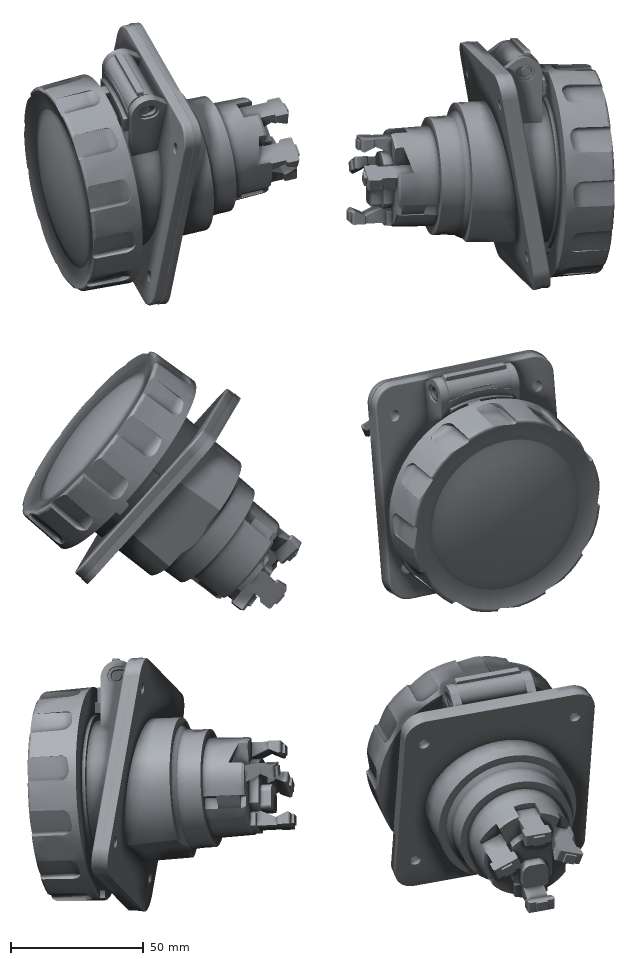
import math

import cadquery as cq


CAP_REAR_RADIUS = 40.445
CAP_FRONT_RADIUS = 39.6
CAP_LENGTH = 19.1
RIM_FILLET = 1.2
RIM_INNER_RADIUS = 38.2
DOME_RADIUS = 30.75
DOME_TIP_Y = -22.0
DOME_EDGE_Y = -17.2
DISH_MID_RADIUS = 33.6
DISH_MID_Y = -17.55

GRIP_COUNT = 12
GRIP_OFFSET_ANGLE = 1.7
GRIP_WIDTH = 10.0
GRIP_DEPTH = 1.7
GRIP_END_Y = -2.7
GRIP_END_ROUND = 3.8
GRIP_FLOOR_FILLET = 1.2

COLLAR_RADIUS = 29.8
COLLAR_LENGTH = 1.25
BODY_FRONT_RADIUS = 27.75
BODY_REAR_RADIUS = 27.35
BODY_END_Y = 33.4
CONE_FRONT_RADIUS = 24.3
CONE_REAR_RADIUS = 22.7
CONE_END_Y = 35.35
NECK_RADIUS = 22.35
NECK_END_Y = 44.25
INSERT_FRONT_RADIUS = 19.0
INSERT_REAR_RADIUS = 18.5
INSERT_END_Y = 60.1
INSERT_CHAMFER = 0.9
FLAT_FRONT_Z = -24.0
FLAT_REAR_Z = -22.95

PLATE_TILT = 10.05
PLATE_WIDTH = 75.4
PLATE_HEIGHT = 85.0
PLATE_CORNER = 8.2
PLATE_BACK_LAYER = 2.85
PLATE_THICKNESS = 6.5
PLATE_FRONT_WIDTH = 75.0
PLATE_FRONT_TOP_Z = 44.7
PLATE_FRONT_BOTTOM_Z = -38.7
PLATE_FRONT_FILLET = 0.7
PLATE_FRONT_NORMAL = cq.Vector(
    0, -math.cos(math.radians(PLATE_TILT)), math.sin(math.radians(PLATE_TILT))
)
PLATE_Y = 18.2
PLATE_Z = 2.5
HOLE_DIAMETER = 4.3
HOLE_SPACING_X = 60.0
HOLE_SPACING_Z = 59.2
HOLE_CENTER_Z = 3.3

EAR_INNER_X = 13.0
EAR_OUTER_X = 16.45
EAR_RADIUS = 6.6
EAR_CENTER_Y = 10.85
EAR_CENTER_Z = 41.0
EAR_BOTTOM_Z = 22.25
EAR_TOP_REAR_Y = 18.5
EAR_TOP_REAR_Z = 43.6
PIN_Y = 10.15
PIN_Z = 41.9
PIN_RADIUS = 1.9
PIN_RECESS = 1.3
SLOT_LENGTH = 6.3
SLOT_HEIGHT = 4.3
SLOT_CENTER_Y = 11.15
SLOT_DEPTH = 2.5
SLOT_RECESS_MARGIN = 1.05
SLOT_RECESS_DEPTH = 0.8
BARREL_RADIUS = 6.1
RIB_TOP_Z = 49.275
RIB_FRONT_Y = 7.9
RIB_REAR_Y = 10.4
RIB_HALF_LENGTH = 12.8
RIB_CORNER = 0.8
LUG_REAR_Y = 9.0
LUG_INNER_RADIUS = 34.6
LUG_STEPS = ((40.2, 2.3), (43.0, 3.9), (44.5, 4.4))

KEY_TOP_HALF_WIDTH = 6.5
KEY_BOTTOM_HALF_WIDTH = 12.0
KEY_TOP_REAR_Y = 4.3
KEY_BOTTOM_REAR_Y = 6.0
KEY_TOP_RADIUS = 34.8
KEY_BOTTOM_RADIUS = 31.4
TAB_INNER_RADIUS = 37.3
TAB_OUTER_RADIUS = 40.2
TAB_LENGTH = 2.0
TAB_LEFT_X = -6.6
TAB_RIGHT_X = -1.6

TERMINAL_END_Y = 72.45
EARTH_END_Y = 75.97
TERMINALS = (
    (0.0, 16.0, 0.0, TERMINAL_END_Y),
    (-13.1, 5.0, -22.0, TERMINAL_END_Y),
    (13.1, 5.0, 22.0, TERMINAL_END_Y),
    (0.0, -16.5, 180.0, EARTH_END_Y),
)
TIP_LENGTH = 0.95
TIP_HALF_WIDTH = 2.2
TIP_TOP_DEPTH = 0.8
TIP_BOTTOM_DEPTH = 4.4
HEAD_HALF_WIDTH = 5.2
HEAD_LENGTH = 5.2
HEAD_ROUND = 0.8
HEAD_DEPTH = 4.8
HEAD_LIP = 1.0
STEM_HALF_WIDTH = 4.0
WAIST_DEPTH = 2.9
ROOT_DEPTH = 5.6
ROOT_OFFSET = 12.1
STEM_LENGTH = 19.0

NOTCH_END_Y = 53.7
NOTCH_HALF_WIDTH = 4.3
SIDE_NOTCH_END_Y = 53.1
SIDE_NOTCH_SLOPE_RUN = 3.7
SIDE_NOTCH_SLOPE_RISE = 7.9

HUB_RADIUS = 10.9
HUB_HALF_WIDTH = 7.8
HUB_Z = -0.75
HUB_END_Y = 63.6
BOSS_HALF_WIDTH = 5.0
BOSS_TOP_Z = -0.2
BOSS_BOTTOM_Z = -10.1
BOSS_TOP_FILLET = 3.2
BOSS_BOTTOM_FILLET = 1.4
BOSS_END_Y = 67.75
EARTH_SEAT_RADIUS = 18.1
EARTH_SEAT_TOP_Z = -11.9
EARTH_SEAT_HALF_WIDTH = 6.5
EARTH_SEAT_END_Y = 62.1
GROOVE_TOP_Z = -7.3
GROOVE_BOTTOM_Z = -11.7
GROOVE_DEPTH = 1.6
GROOVE_START_Y = 49.2
GROOVE_END_Y = 58.1


def block(x0, x1, y0, y1, z0, z1):
    """Box between two opposite corners."""
    return cq.Workplane("XY").box(x1 - x0, y1 - y0, z1 - z0, centered=False).translate((x0, y0, z0))


def disc(radius, y0, y1, z=0.0):
    """Cylinder along Y."""
    return cq.Workplane("XZ", origin=(0, y0, z)).circle(radius).extrude(y0 - y1)


def side_profile(points, half_width):
    """Polygon in (y, z), extruded evenly to both sides of X = 0."""
    return cq.Workplane("YZ").polyline(points).close().extrude(half_width, both=True)


def mirrored(shape):
    """The shape together with its mirror image across X = 0."""
    return shape.union(shape.mirror("YZ"))


def make_cap():
    profile = (
        cq.Workplane("XY")
        .moveTo(0, 0)
        .lineTo(CAP_REAR_RADIUS, 0)
        .lineTo(CAP_FRONT_RADIUS, RIM_FILLET - CAP_LENGTH)
        .radiusArc((CAP_FRONT_RADIUS - RIM_FILLET, -CAP_LENGTH), RIM_FILLET)
        .lineTo(RIM_INNER_RADIUS, -CAP_LENGTH)
        .threePointArc((DISH_MID_RADIUS, DISH_MID_Y), (DOME_RADIUS, DOME_EDGE_Y))
    )
    sagitta = DOME_EDGE_Y - DOME_TIP_Y
    sphere_radius = (DOME_RADIUS**2 + sagitta**2) / (2 * sagitta)
    half_angle = math.asin(DOME_RADIUS / sphere_radius) / 2
    arc_middle = (
        sphere_radius * math.sin(half_angle),
        DOME_TIP_Y + sphere_radius * (1 - math.cos(half_angle)),
    )
    profile = profile.threePointArc(arc_middle, (0, DOME_TIP_Y)).close()
    cap = profile.revolve(360, (0, 0, 0), (0, 1, 0))
    for index in range(GRIP_COUNT):
        angle = GRIP_OFFSET_ANGLE + index * 360 / GRIP_COUNT
        cap = cap.cut(make_grip_cutter().rotate((0, 0, 0), (0, 1, 0), -angle))
    return cap


def make_grip_cutter():
    """Cutter at the top of the cap, deepest at its +X edge, with a rounded and ramped rear end."""
    half = GRIP_WIDTH / 2
    outside = CAP_REAR_RADIUS + 1
    floor_high = math.sqrt(CAP_FRONT_RADIUS**2 - half**2)
    floor_middle = floor_high - GRIP_DEPTH / 2
    floor_tilt = math.degrees(math.atan(GRIP_DEPTH / GRIP_WIDTH))
    front_y = -CAP_LENGTH - 1
    ramp_height = CAP_REAR_RADIUS - floor_middle
    ramp_radius = (ramp_height**2 + GRIP_END_ROUND**2) / (2 * ramp_height)
    cutter = (
        cq.Workplane("YZ")
        .moveTo(front_y, floor_middle)
        .lineTo(GRIP_END_Y - GRIP_END_ROUND, floor_middle)
        .radiusArc((GRIP_END_Y, CAP_REAR_RADIUS), -ramp_radius)
        .lineTo(GRIP_END_Y, outside)
        .lineTo(front_y, outside)
        .close()
        .extrude(half, both=True)
    )
    cutter = cutter.faces(">X").edges("<Z or %CIRCLE").fillet(GRIP_FLOOR_FILLET)
    cutter = cutter.rotate((0, 0, floor_middle), (0, 1, floor_middle), floor_tilt)
    plan = block(-half, half, front_y, GRIP_END_Y, 0, outside)
    return cutter.intersect(plan.edges("|Z and >Y").fillet(GRIP_END_ROUND))


def make_cap_keys():
    """Locating keys above and below the collar, and small tabs near the cap edge."""
    top_key = disc(KEY_TOP_RADIUS, 0, KEY_TOP_REAR_Y).intersect(
        block(-KEY_TOP_HALF_WIDTH, KEY_TOP_HALF_WIDTH, 0, KEY_TOP_REAR_Y, COLLAR_RADIUS, CAP_REAR_RADIUS)
    )
    bottom_key = disc(KEY_BOTTOM_RADIUS, 0, KEY_BOTTOM_REAR_Y).intersect(
        block(-KEY_BOTTOM_HALF_WIDTH, KEY_BOTTOM_HALF_WIDTH, 0, KEY_BOTTOM_REAR_Y, -CAP_REAR_RADIUS, 0)
    )
    tab_ring = disc(TAB_OUTER_RADIUS, 0, TAB_LENGTH).cut(disc(TAB_INNER_RADIUS, 0, TAB_LENGTH))
    tabs = tab_ring.intersect(
        block(TAB_LEFT_X, TAB_RIGHT_X, 0, TAB_LENGTH, -CAP_REAR_RADIUS, CAP_REAR_RADIUS)
    )
    return top_key.union(bottom_key).union(tabs)


def make_body():
    profile = [
        (0, 0),
        (COLLAR_RADIUS, 0),
        (COLLAR_RADIUS, COLLAR_LENGTH),
        (BODY_FRONT_RADIUS, COLLAR_LENGTH),
        (BODY_REAR_RADIUS, BODY_END_Y),
        (CONE_FRONT_RADIUS, BODY_END_Y),
        (CONE_REAR_RADIUS, CONE_END_Y),
        (NECK_RADIUS, NECK_END_Y),
        (INSERT_FRONT_RADIUS, NECK_END_Y),
        (INSERT_REAR_RADIUS, INSERT_END_Y - INSERT_CHAMFER),
        (INSERT_REAR_RADIUS - INSERT_CHAMFER / 2, INSERT_END_Y),
        (0, INSERT_END_Y),
    ]
    body = cq.Workplane("XY").polyline(profile).close().revolve(360, (0, 0, 0), (0, 1, 0))
    flat = [
        (PLATE_Y - PLATE_THICKNESS, FLAT_FRONT_Z),
        (CONE_END_Y, FLAT_REAR_Z),
        (CONE_END_Y, -BODY_FRONT_RADIUS),
        (PLATE_Y - PLATE_THICKNESS, -BODY_FRONT_RADIUS),
    ]
    return body.cut(side_profile(flat, BODY_FRONT_RADIUS))


def place_on_plate(shape):
    """Move a shape from the plate's own frame (back face on Y = 0) to its tilted place."""
    return shape.rotate((0, 0, 0), (1, 0, 0), -PLATE_TILT).translate((0, PLATE_Y, PLATE_Z))


def make_plate():
    """Tilted back layer square to its own face, and a front layer whose rim runs along Y."""
    back_layer = (
        cq.Workplane("XZ")
        .rect(PLATE_WIDTH, PLATE_HEIGHT)
        .extrude(PLATE_BACK_LAYER)
        .edges("|Y")
        .fillet(PLATE_CORNER)
    )
    front_slab = block(
        -PLATE_WIDTH, PLATE_WIDTH, -PLATE_THICKNESS, -PLATE_BACK_LAYER, -PLATE_HEIGHT, PLATE_HEIGHT
    )
    half_width = PLATE_FRONT_WIDTH / 2
    rim = block(
        -half_width, half_width, -PLATE_HEIGHT, PLATE_HEIGHT, PLATE_FRONT_BOTTOM_Z, PLATE_FRONT_TOP_Z
    )
    rim = rim.edges("|Y").fillet(PLATE_CORNER)
    front_layer = rim.intersect(place_on_plate(front_slab))
    front_face = front_layer.faces(cq.selectors.DirectionMinMaxSelector(PLATE_FRONT_NORMAL, True))
    front_layer = front_face.edges().fillet(PLATE_FRONT_FILLET)
    holes = (
        cq.Workplane("XZ", origin=(0, 0, HOLE_CENTER_Z))
        .rarray(HOLE_SPACING_X, HOLE_SPACING_Z, 2, 2)
        .circle(HOLE_DIAMETER / 2)
        .extrude(PLATE_HEIGHT, both=True)
    )
    return place_on_plate(back_layer).union(front_layer).cut(holes)


def make_ear():
    """Left hinge ear with its slotted pin opening."""
    ear_front_y = EAR_CENTER_Y - EAR_RADIUS
    ear_bottom_rear_y = EAR_TOP_REAR_Y - (EAR_TOP_REAR_Z - EAR_BOTTOM_Z) * math.tan(math.radians(PLATE_TILT))
    arc_rise = EAR_RADIUS * math.sin(math.pi / 3)
    ear = (
        cq.Workplane("YZ", origin=(-EAR_OUTER_X, 0, 0))
        .moveTo(ear_front_y, EAR_BOTTOM_Z)
        .lineTo(ear_front_y, EAR_CENTER_Z)
        .threePointArc(
            (EAR_CENTER_Y - EAR_RADIUS / 2, EAR_CENTER_Z + arc_rise),
            (EAR_CENTER_Y + EAR_RADIUS / 2, EAR_CENTER_Z + arc_rise),
        )
        .lineTo(EAR_TOP_REAR_Y, EAR_TOP_REAR_Z)
        .lineTo(ear_bottom_rear_y, EAR_BOTTOM_Z)
        .close()
        .extrude(EAR_OUTER_X - EAR_INNER_X)
    )
    slot = (
        cq.Workplane("YZ", origin=(-EAR_OUTER_X, SLOT_CENTER_Y, PIN_Z))
        .slot2D(SLOT_LENGTH, SLOT_HEIGHT)
        .extrude(SLOT_DEPTH)
    )
    recess = (
        cq.Workplane("YZ", origin=(-EAR_OUTER_X, SLOT_CENTER_Y, PIN_Z))
        .slot2D(SLOT_LENGTH + 2 * SLOT_RECESS_MARGIN, SLOT_HEIGHT + 2 * SLOT_RECESS_MARGIN)
        .extrude(SLOT_RECESS_DEPTH)
    )
    pin = (
        cq.Workplane("YZ", origin=(PIN_RECESS - EAR_OUTER_X, PIN_Y, PIN_Z))
        .circle(PIN_RADIUS)
        .extrude(EAR_OUTER_X - EAR_INNER_X)
    )
    return ear.cut(slot).cut(recess).union(pin)


def make_knuckle():
    """Barrel between the ears, its top rib and the stepped, curved lug that reaches the cap."""
    knuckle = (
        cq.Workplane("YZ", origin=(0, PIN_Y, PIN_Z))
        .circle(BARREL_RADIUS)
        .extrude(EAR_INNER_X, both=True)
    )
    rib = block(-RIB_HALF_LENGTH, RIB_HALF_LENGTH, RIB_FRONT_Y, RIB_REAR_Y, PIN_Z, RIB_TOP_Z)
    knuckle = knuckle.union(rib.edges("|Y and >Z").fillet(RIB_CORNER))
    for outer_radius, front_y in LUG_STEPS:
        ring = disc(outer_radius, front_y, LUG_REAR_Y).cut(disc(LUG_INNER_RADIUS, front_y, LUG_REAR_Y))
        between_ears = block(-EAR_INNER_X, EAR_INNER_X, front_y, LUG_REAR_Y, 0, outer_radius)
        knuckle = knuckle.union(ring.intersect(between_ears))
    return knuckle


def make_terminal():
    """Terminal with its tip at Y = 0 and its flat outer face on Z = 0."""
    waist_y = -TIP_LENGTH - HEAD_LENGTH
    profile = [
        (-TIP_LENGTH, 0),
        (-TIP_LENGTH, -TIP_BOTTOM_DEPTH),
        (-TIP_LENGTH - HEAD_LIP, -HEAD_DEPTH),
        (waist_y, -WAIST_DEPTH),
        (-ROOT_OFFSET, -ROOT_DEPTH),
        (-STEM_LENGTH, -ROOT_DEPTH),
        (-STEM_LENGTH, 0),
    ]
    head = block(-HEAD_HALF_WIDTH, HEAD_HALF_WIDTH, waist_y, -TIP_LENGTH, -ROOT_DEPTH, 0)
    head = head.edges("|Z").fillet(HEAD_ROUND)
    stem = block(-STEM_HALF_WIDTH, STEM_HALF_WIDTH, -STEM_LENGTH, -TIP_LENGTH, -ROOT_DEPTH, 0)
    tip = block(
        -TIP_HALF_WIDTH, TIP_HALF_WIDTH, -2 * TIP_LENGTH, 0, -TIP_BOTTOM_DEPTH, -TIP_TOP_DEPTH
    )
    return side_profile(profile, HEAD_HALF_WIDTH).intersect(head.union(stem)).union(tip)


def place_terminal(shape, position):
    face_x, face_z, tilt, end_y = position
    return shape.rotate((0, 0, 0), (0, 1, 0), tilt).translate((face_x, end_y, face_z))


def cut_top_notch(body):
    face_z = TERMINALS[0][1]
    return body.cut(
        block(
            -NOTCH_HALF_WIDTH, NOTCH_HALF_WIDTH, NOTCH_END_Y, INSERT_END_Y, face_z, INSERT_FRONT_RADIUS
        )
    )


def cut_side_notches(body):
    """Openings above the two side terminals, with floors that rise towards the outside."""
    face_x, face_z, tilt, _ = TERMINALS[2]
    height = INSERT_FRONT_RADIUS
    floor_top_y = SIDE_NOTCH_END_Y + SIDE_NOTCH_SLOPE_RUN / SIDE_NOTCH_SLOPE_RISE * height
    opening = [(SIDE_NOTCH_END_Y, 0), (floor_top_y, height), (floor_top_y, 0)]
    notch = side_profile(opening, NOTCH_HALF_WIDTH)
    notch = notch.rotate((0, 0, 0), (0, 1, 0), tilt).translate((face_x, 0, face_z))
    return body.cut(mirrored(notch))


def cut_side_grooves(body):
    """Grooves along both sides: upright floors at the ends, an undercut floor in between."""
    upper_x = math.sqrt(INSERT_REAR_RADIUS**2 - GROOVE_TOP_Z**2)
    lower_x = math.sqrt(INSERT_REAR_RADIUS**2 - GROOVE_BOTTOM_Z**2) - GROOVE_DEPTH
    section = [
        (upper_x, GROOVE_TOP_Z),
        (INSERT_FRONT_RADIUS, GROOVE_TOP_Z),
        (INSERT_FRONT_RADIUS, GROOVE_BOTTOM_Z),
        (lower_x, GROOVE_BOTTOM_Z),
    ]
    groove = (
        cq.Workplane("XZ", origin=(0, GROOVE_START_Y, 0))
        .polyline(section)
        .close()
        .extrude(GROOVE_START_Y - GROOVE_END_Y)
    )
    end_floor_x = lower_x + GROOVE_DEPTH
    for start_y, end_y in ((NECK_END_Y, GROOVE_START_Y), (GROOVE_END_Y, INSERT_END_Y)):
        groove = groove.union(
            block(end_floor_x, INSERT_FRONT_RADIUS, start_y, end_y, GROOVE_BOTTOM_Z, GROOVE_TOP_Z)
        )
    return body.cut(mirrored(groove))


def make_insert_end():
    """Hub, off-centre boss and earth terminal seat on the end of the insert."""
    hub = disc(HUB_RADIUS, NECK_END_Y, HUB_END_Y, HUB_Z).intersect(
        block(-HUB_HALF_WIDTH, HUB_HALF_WIDTH, NECK_END_Y, HUB_END_Y, -INSERT_REAR_RADIUS, INSERT_REAR_RADIUS)
    )
    boss = (
        block(-BOSS_HALF_WIDTH, BOSS_HALF_WIDTH, NECK_END_Y, BOSS_END_Y, BOSS_BOTTOM_Z, BOSS_TOP_Z)
        .edges("|Y and >Z")
        .fillet(BOSS_TOP_FILLET)
        .edges("|Y and <Z")
        .fillet(BOSS_BOTTOM_FILLET)
    )
    seat = disc(EARTH_SEAT_RADIUS, NECK_END_Y, EARTH_SEAT_END_Y).intersect(
        block(
            -EARTH_SEAT_HALF_WIDTH,
            EARTH_SEAT_HALF_WIDTH,
            NECK_END_Y,
            EARTH_SEAT_END_Y,
            -EARTH_SEAT_RADIUS,
            EARTH_SEAT_TOP_Z,
        )
    )
    return hub.union(boss).union(seat)


body = cut_side_grooves(cut_side_notches(cut_top_notch(make_body())))
result = body.union(make_cap()).union(make_cap_keys()).union(make_plate())
result = result.union(mirrored(make_ear())).union(make_knuckle()).union(make_insert_end())
for terminal_position in TERMINALS:
    result = result.union(place_terminal(make_terminal(), terminal_position))